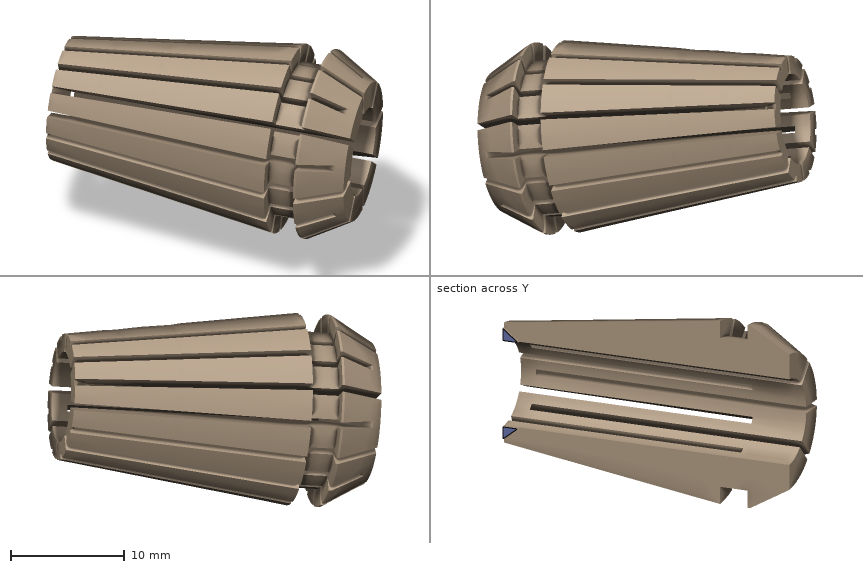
import cadquery as cq

overall_length = 27.5
nose_cone_length = 20.82
groove_end = 23.48
rim_end = 23.7

outer_radius = 8.5
nose_radius = 5.58
groove_radius = 6.9
tail_radius = 6.3
bore_radius = 4.0

slits_per_end = 8
slit_width = 0.6
slit_pitch = 360 / slits_per_end

nose_web_length = 1.45
nose_web_radius = 5.15
tail_web_start = 22.4
tail_web_end = 26.75
tail_cone_slope = (outer_radius - tail_radius) / (overall_length - rim_end)
tail_web_radius = tail_radius + (overall_length - tail_web_end) * tail_cone_slope
tail_web_arc_radius = 35.75

clearance = 1.38
slit_top = outer_radius + clearance


def collet_body():
    """Turned double cone with an extraction groove and a through bore."""
    half_section = [
        (0, bore_radius),
        (0, nose_radius),
        (nose_cone_length, outer_radius),
        (nose_cone_length, groove_radius),
        (groove_end, groove_radius),
        (groove_end, outer_radius),
        (rim_end, outer_radius),
        (overall_length, tail_radius),
        (overall_length, bore_radius),
    ]
    return cq.Workplane("XY").polyline(half_section).close().revolve(360, (0, 0, 0), (1, 0, 0))


def slit_cutter(outline, angle):
    """Thin plate from an outline in X and radius, turned about the X axis."""
    plate = outline.close().extrude(slit_width / 2, both=True)
    return plate.rotate((0, 0, 0), (1, 0, 0), angle)


def tail_slit_outline():
    """Open through the tail; the floor falls straight from the nose face to the bore."""
    return (
        cq.Workplane("XY")
        .moveTo(-clearance, nose_web_radius)
        .lineTo(0, nose_web_radius)
        .lineTo(nose_web_length, bore_radius)
        .lineTo(nose_web_length, 0)
        .lineTo(overall_length + clearance, 0)
        .lineTo(overall_length + clearance, slit_top)
        .lineTo(-clearance, slit_top)
    )


def nose_slit_outline():
    """Open through the nose; the floor rises from the bore to the tail cone in a hollow arc."""
    return (
        cq.Workplane("XY")
        .moveTo(-clearance, 0)
        .lineTo(tail_web_start, 0)
        .lineTo(tail_web_start, bore_radius)
        .radiusArc((tail_web_end, tail_web_radius), -tail_web_arc_radius)
        .lineTo(tail_web_end, slit_top)
        .lineTo(-clearance, slit_top)
    )


result = collet_body()
for index in range(slits_per_end):
    tail_slit_angle = index * slit_pitch
    nose_slit_angle = tail_slit_angle + slit_pitch / 2
    result = result.cut(slit_cutter(tail_slit_outline(), tail_slit_angle))
    result = result.cut(slit_cutter(nose_slit_outline(), nose_slit_angle))